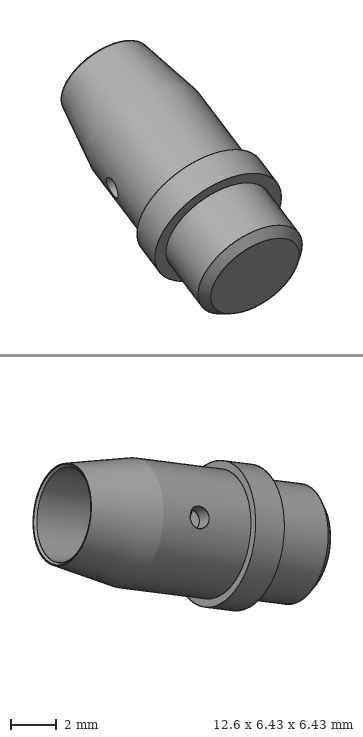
import cadquery as cq
import math

total_length = 12.61
taper_length = 3.4
flange_start = 8.0
flange_width = 1.51
end_chamfer = 0.4

tip_diameter = 4.5
body_diameter = 5.7
flange_diameter = 6.43
spigot_diameter = 5.3

bore_diameter = 4.2
bore_depth = 8.0
mouth_chamfer = 0.1
drill_point_angle = 118.0

side_hole_diameter = 1.0
side_hole_position = 5.3


def turned_body():
    """Solid of revolution about X: taper, barrel, flange and chamfered spigot."""
    flange_end = flange_start + flange_width
    profile = [
        (0, 0),
        (0, tip_diameter / 2),
        (taper_length, body_diameter / 2),
        (flange_start, body_diameter / 2),
        (flange_start, flange_diameter / 2),
        (flange_end, flange_diameter / 2),
        (flange_end, spigot_diameter / 2),
        (total_length - end_chamfer, spigot_diameter / 2),
        (total_length, spigot_diameter / 2 - end_chamfer),
        (total_length, 0),
    ]
    return cq.Workplane("XY").polyline(profile).close().revolve(360, (0, 0, 0), (1, 0, 0))


def bore():
    """Cylindrical bore with a chamfered mouth and a conical bottom."""
    radius = bore_diameter / 2
    point_length = radius / math.tan(math.radians(drill_point_angle / 2))
    profile = [
        (0, 0),
        (0, radius + mouth_chamfer),
        (mouth_chamfer, radius),
        (bore_depth, radius),
        (bore_depth + point_length, 0),
    ]
    return cq.Workplane("XY").polyline(profile).close().revolve(360, (0, 0, 0), (1, 0, 0))


def side_hole():
    """Cylinder from the axis outward along -Y."""
    return (
        cq.Workplane("XZ")
        .center(side_hole_position, 0)
        .circle(side_hole_diameter / 2)
        .extrude(body_diameter)
    )


result = turned_body().cut(bore()).cut(side_hole())